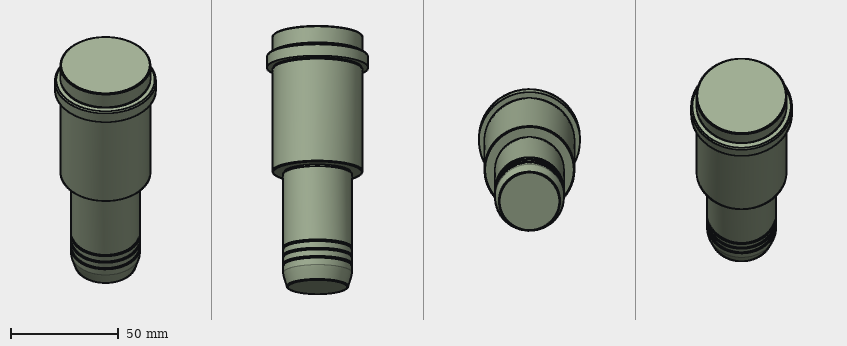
import cadquery as cq

total_height = 120.0
flange_top = 111.0
flange_bottom = 105.0
body_bottom = 55.0
nose_start = 7.0

flange_radius = 23.5
body_radius = 21.0
shaft_radius = 16.1
tip_radius = 14.3

edge_break = 0.5
flange_chamfer = 0.7
relief_depth = 0.6
shaft_relief_height = 1.0
nose_bulge = 0.18

groove_count = 3
groove_pitch = 4.0
lowest_groove_height = 10.5
groove_depth = 0.5


def cylinder(radius, bottom, top):
    """Cylinder about Z between two heights."""
    return cq.Workplane("XY").workplane(offset=bottom).circle(radius).extrude(top - bottom)


def ring_groove(height):
    """Ring with a right-angled V edge that cuts a groove with its root at a height."""
    section = (
        cq.Workplane("XZ")
        .moveTo(shaft_radius - groove_depth, height)
        .lineTo(shaft_radius + groove_depth, height + 2 * groove_depth)
        .lineTo(shaft_radius + groove_depth, height - 2 * groove_depth)
        .close()
    )
    return section.revolve(360, (0, 0), (0, 1))


head_bottom = flange_top + edge_break
head = cylinder(body_radius, head_bottom, total_height).edges().chamfer(edge_break)
head_relief = cylinder(body_radius - relief_depth, flange_top, head_bottom)

flange = cylinder(flange_radius, flange_bottom, flange_top).edges(">Z").chamfer(flange_chamfer)

body_top = flange_bottom - edge_break
body = cylinder(body_radius, body_bottom, body_top).edges().chamfer(edge_break)
body_relief = cylinder(body_radius - relief_depth, body_top, flange_bottom)

shaft_top = body_bottom - shaft_relief_height
shaft = cylinder(shaft_radius, nose_start, shaft_top)
shaft_relief = cylinder(shaft_radius - relief_depth, shaft_top, body_bottom)

nose_middle = ((shaft_radius + tip_radius) / 2 + nose_bulge, (nose_start + edge_break) / 2)
nose = (
    cq.Workplane("XZ")
    .lineTo(tip_radius - edge_break, 0)
    .lineTo(tip_radius, edge_break)
    .threePointArc(nose_middle, (shaft_radius, nose_start))
    .lineTo(0, nose_start)
    .close()
    .revolve(360, (0, 0), (0, 1))
)

result = head
for section in (head_relief, flange, body_relief, body, shaft_relief, shaft, nose):
    result = result.union(section)

for index in range(groove_count):
    result = result.cut(ring_groove(lowest_groove_height + index * groove_pitch))